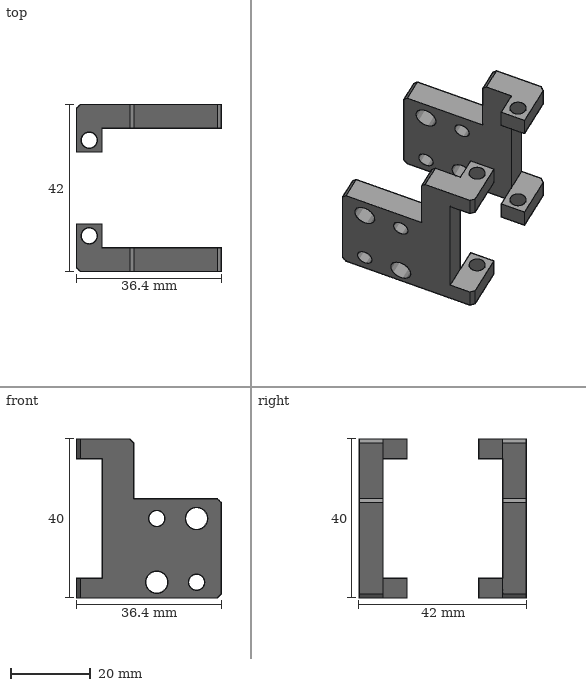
import cadquery as cq

length = 36.4
pair_width = 42.0
height = 40.0

plate_thickness = 6.0
lug_reach = 12.0
lug_length = 6.45
lug_height = 5.05
tower_right = 14.45
step_height = 25.0
chamfer = 1.0

small_diameter = 4.0
large_diameter = 5.5
plate_hole_x = 20.2
plate_hole_z = 4.0
plate_pitch_x = 10.0
plate_pitch_z = 16.0
lug_hole_x = 3.25
lug_hole_inset = 9.0

outer_y = -pair_width / 2


def make_plate():
    """Stepped plate with three chamfered corners on its right side."""
    outline = [
        (lug_length, 0),
        (length - chamfer, 0),
        (length, chamfer),
        (length, step_height - chamfer),
        (length - chamfer, step_height),
        (tower_right, step_height),
        (tower_right, height - chamfer),
        (tower_right - chamfer, height),
        (lug_length, height),
    ]
    plate = cq.Workplane("XZ", origin=(0, outer_y, 0)).polyline(outline).close()
    return plate.extrude(-plate_thickness)


def make_lug(bottom_z):
    """Lug turned inward, with its outer left edge chamfered."""
    lug = cq.Workplane("XY").box(lug_length, lug_reach, lug_height, centered=False)
    lug = lug.edges("|Z and <X and <Y").chamfer(chamfer)
    return lug.translate((0, outer_y, bottom_z))


def plate_holes():
    """Two small and two large holes on opposite diagonals."""
    right_x = plate_hole_x + plate_pitch_x
    upper_z = plate_hole_z + plate_pitch_z
    plane = cq.Workplane("XZ", origin=(0, outer_y, 0))
    small = plane.pushPoints([(plate_hole_x, upper_z), (right_x, plate_hole_z)])
    small = small.circle(small_diameter / 2).extrude(-plate_thickness)
    large = plane.pushPoints([(plate_hole_x, plate_hole_z), (right_x, upper_z)])
    large = large.circle(large_diameter / 2).extrude(-plate_thickness)
    return small.union(large)


def lug_holes():
    """Vertical bore passing through both lugs."""
    plane = cq.Workplane("XY", origin=(lug_hole_x, outer_y + lug_hole_inset, 0))
    return plane.circle(small_diameter / 2).extrude(height)


def make_bracket(side):
    """Bracket on the -Y side (side = -1) or its mirror image (side = 1)."""
    bracket = make_plate()
    for bottom_z in (0, height - lug_height):
        bracket = bracket.union(make_lug(bottom_z))
    bracket = bracket.cut(plate_holes()).cut(lug_holes())
    if side > 0:
        bracket = bracket.mirror("XZ")
    return bracket


brackets = [make_bracket(side) for side in (-1, 1)]

result = cq.Compound.makeCompound([bracket.val() for bracket in brackets])